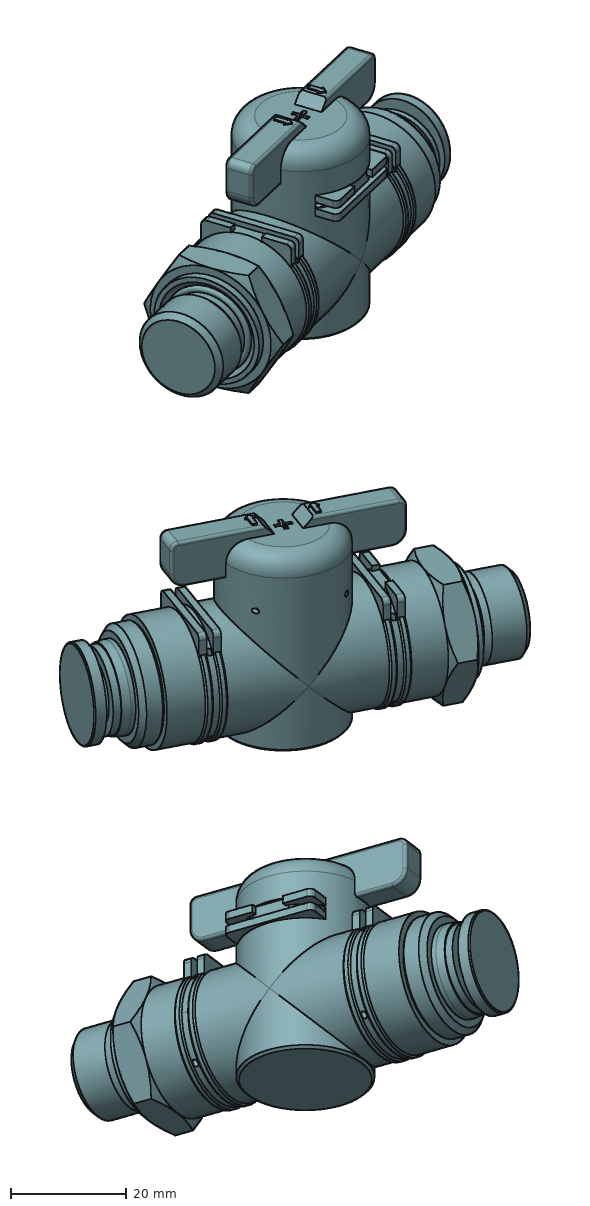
import cadquery as cq
import math


OVERALL_LENGTH = 81.6
BODY_RADIUS = 12.0

RELEASE_END_Y = 38.4
RELEASE_BACK_Y = 36.15
SLEEVE_Y = 34.85
SLEEVE_STEP_Y = 33.4
SLEEVE_TAPER_END_Y = 31.75
COLLAR_Y = 30.85
BODY_START_Y = 26.35
HEX_START_Y = -26.0
HEX_END_Y = -31.75
FLANGE_END_Y = -33.2
THREAD_START_Y = -34.6
THREAD_END_Y = RELEASE_END_Y - OVERALL_LENGTH

RELEASE_HALF_WIDTH = 8.3
RELEASE_HALF_HEIGHT = 9.5
RELEASE_EDGE_CHAMFER = 0.25
RELEASE_NECK_RADIUS = 6.1
SLEEVE_RADIUS = 8.1
SLEEVE_TAPER_RADIUS = 8.3
SLEEVE_BASE_RADIUS = 8.6
COLLAR_RADIUS = 11.0
COLLAR_CHAMFER = 1.1
COLLAR_BACK_CHAMFER = 0.4

HEX_CHAMFER_ANGLE = 30
FLANGE_RADIUS = 10.45
THREAD_RADIUS = 8.3
THREAD_NECK_RADIUS = 7.3
THREAD_CHAMFER = THREAD_RADIUS - THREAD_NECK_RADIUS

SEAT_MOUTH_RADIUS = 9.5
SEAT_DEPTH = 1.2
O_RING_TUBE_RADIUS = 0.61

TOWER_TOP_Z = 25.95
TOWER_BOTTOM_Z = -12.6
TOWER_TOP_FILLET = 4.0
TOWER_BOTTOM_CHAMFER = 0.5

CROSS_HALF_LENGTH = 1.6
CROSS_ARM_WIDTH = 0.7

HANDLE_HALF_LENGTH = 22.0
HANDLE_WIDTH = 5.3
HANDLE_BOTTOM_Z = 18.9
HANDLE_TOP_Z = 27.9
HANDLE_TOP_CORNER_RADIUS = 1.5
HANDLE_BOTTOM_CORNER_RADIUS = 2.85
HANDLE_SIDE_FILLET = 0.6
HANDLE_GAP_HALF_LENGTH = 2.7

ARROW_Y = 5.95
ARROW_HEIGHT = 0.25
ARROW_HALF_LENGTH = 1.7
ARROW_HEAD_LENGTH = 1.15
ARROW_HEAD_HALF_WIDTH = 1.0
ARROW_SHAFT_HALF_WIDTH = 0.5

PIPE_MOUNT_Y = 17.1
TOWER_MOUNT_Z = 14.85
MOUNT_WIDTH = 4.2
MOUNT_GAP = 1.2
RIB_WIDTH = (MOUNT_WIDTH - MOUNT_GAP) / 2
RIB_OFFSET = (MOUNT_GAP + RIB_WIDTH) / 2
PLATE_HALF_WIDTH = 9.0
PLATE_HEIGHT = 12.5
PLATE_CORNER_FILLET = 1.1
BAND_HEIGHT = 0.3
GROOVE_FLOOR_HEIGHT = 11.4
NOTCH_HALF_WIDTH = 3.1
MOUNT_HOLE_DIAMETER = 1.0
MOUNT_HOLE_DEPTH = 1.6
MOUNT_HOLE_OFFSET = BODY_RADIUS * math.cos(math.radians(45))


def revolve_about_y(profile):
    """Turn a closed list of (radius, y) points around the Y axis."""
    return cq.Workplane("XY").polyline(profile).close().revolve(360, (0, 0, 0), (0, 1, 0))


def plane_facing_minus_y(plane_y):
    """Work plane whose local x, y are global X, Z; positive extrusion runs toward -Y."""
    return cq.Workplane("XZ", origin=(0, plane_y, 0))


def make_push_in_end():
    collar_front_radius = COLLAR_RADIUS - COLLAR_CHAMFER
    collar_back_radius = COLLAR_RADIUS - COLLAR_BACK_CHAMFER
    turned = revolve_about_y([
        (0, BODY_START_Y),
        (collar_back_radius, BODY_START_Y),
        (COLLAR_RADIUS, BODY_START_Y + COLLAR_BACK_CHAMFER),
        (COLLAR_RADIUS, COLLAR_Y - COLLAR_CHAMFER),
        (collar_front_radius, COLLAR_Y),
        (SLEEVE_BASE_RADIUS, COLLAR_Y),
        (SLEEVE_BASE_RADIUS, SLEEVE_TAPER_END_Y),
        (SLEEVE_TAPER_RADIUS, SLEEVE_STEP_Y),
        (SLEEVE_RADIUS, SLEEVE_STEP_Y),
        (SLEEVE_RADIUS, SLEEVE_Y),
        (RELEASE_NECK_RADIUS, SLEEVE_Y),
        (RELEASE_NECK_RADIUS, RELEASE_BACK_Y),
        (0, RELEASE_BACK_Y),
    ])
    release_ring = (
        plane_facing_minus_y(RELEASE_END_Y)
        .ellipse(RELEASE_HALF_WIDTH, RELEASE_HALF_HEIGHT)
        .extrude(RELEASE_END_Y - RELEASE_BACK_Y)
        .faces(">Y").edges().chamfer(RELEASE_EDGE_CHAMFER)
    )
    return turned.union(release_ring)


def make_hex():
    corner_radius = BODY_RADIUS / math.cos(math.radians(30))
    chamfer_length = (corner_radius - BODY_RADIUS) * math.tan(math.radians(HEX_CHAMFER_ANGLE))
    prism = plane_facing_minus_y(HEX_START_Y).polygon(6, 2 * corner_radius).extrude(HEX_START_Y - HEX_END_Y)
    chamfer_envelope = revolve_about_y([
        (0, HEX_START_Y),
        (BODY_RADIUS, HEX_START_Y),
        (corner_radius, HEX_START_Y - chamfer_length),
        (corner_radius, HEX_END_Y + chamfer_length),
        (BODY_RADIUS, HEX_END_Y),
        (0, HEX_END_Y),
    ])
    return prism.intersect(chamfer_envelope)


def make_threaded_end():
    seat_floor_y = FLANGE_END_Y + SEAT_DEPTH
    return revolve_about_y([
        (0, HEX_END_Y),
        (FLANGE_RADIUS, HEX_END_Y),
        (FLANGE_RADIUS, FLANGE_END_Y),
        (SEAT_MOUTH_RADIUS, FLANGE_END_Y),
        (SEAT_MOUTH_RADIUS - SEAT_DEPTH, seat_floor_y),
        (THREAD_NECK_RADIUS, seat_floor_y),
        (THREAD_NECK_RADIUS, THREAD_START_Y),
        (THREAD_RADIUS, THREAD_START_Y - THREAD_CHAMFER),
        (THREAD_RADIUS, THREAD_END_Y + THREAD_CHAMFER),
        (THREAD_NECK_RADIUS, THREAD_END_Y),
        (0, THREAD_END_Y),
    ])


def make_pipe():
    barrel = plane_facing_minus_y(BODY_START_Y).circle(BODY_RADIUS).extrude(BODY_START_Y - HEX_START_Y)
    return barrel.union(make_push_in_end()).union(make_hex()).union(make_threaded_end())


def make_tower():
    return (
        cq.Workplane("XY", origin=(0, 0, TOWER_BOTTOM_Z))
        .circle(BODY_RADIUS)
        .extrude(TOWER_TOP_Z - TOWER_BOTTOM_Z)
        .faces(">Z").edges().fillet(TOWER_TOP_FILLET)
        .faces("<Z").edges().chamfer(TOWER_BOTTOM_CHAMFER)
    )


def make_cross_recess():
    arm = (
        cq.Workplane("XZ", origin=(0, 0, TOWER_TOP_Z))
        .polyline([(-CROSS_HALF_LENGTH, 0), (0, -CROSS_HALF_LENGTH), (CROSS_HALF_LENGTH, 0)])
        .close()
        .extrude(CROSS_ARM_WIDTH / 2, both=True)
    )
    return arm.union(arm.rotate((0, 0, 0), (0, 0, 1), 90))


def make_arrow():
    """Raised arrow pointing toward +X, centred on the Z axis."""
    head_base_x = ARROW_HALF_LENGTH - ARROW_HEAD_LENGTH
    return (
        cq.Workplane("XY", origin=(0, 0, HANDLE_TOP_Z))
        .polyline([
            (-ARROW_HALF_LENGTH, -ARROW_SHAFT_HALF_WIDTH),
            (head_base_x, -ARROW_SHAFT_HALF_WIDTH),
            (head_base_x, -ARROW_HEAD_HALF_WIDTH),
            (ARROW_HALF_LENGTH, 0),
            (head_base_x, ARROW_HEAD_HALF_WIDTH),
            (head_base_x, ARROW_SHAFT_HALF_WIDTH),
            (-ARROW_HALF_LENGTH, ARROW_SHAFT_HALF_WIDTH),
        ])
        .close()
        .extrude(ARROW_HEIGHT)
    )


def make_handle():
    """Two wings: a rounded bar with a V-sided gap cut down to the tower top."""
    handle_height = HANDLE_TOP_Z - HANDLE_BOTTOM_Z
    bar = (
        cq.Workplane("XY", origin=(0, 0, HANDLE_BOTTOM_Z))
        .box(HANDLE_WIDTH, 2 * HANDLE_HALF_LENGTH, handle_height, centered=(True, True, False))
        .edges("|X and >Z").fillet(HANDLE_TOP_CORNER_RADIUS)
        .edges("|X and <Z").fillet(HANDLE_BOTTOM_CORNER_RADIUS)
        .faces("<X or >X").edges().fillet(HANDLE_SIDE_FILLET)
    )
    gap_top_half_length = HANDLE_GAP_HALF_LENGTH + HANDLE_TOP_Z - TOWER_TOP_Z
    gap = (
        cq.Workplane("YZ")
        .polyline([
            (-HANDLE_GAP_HALF_LENGTH, TOWER_TOP_Z),
            (HANDLE_GAP_HALF_LENGTH, TOWER_TOP_Z),
            (gap_top_half_length, HANDLE_TOP_Z),
            (-gap_top_half_length, HANDLE_TOP_Z),
        ])
        .close()
        .extrude(HANDLE_WIDTH, both=True)
    )
    handle = bar.cut(gap)
    for y in (-ARROW_Y, ARROW_Y):
        handle = handle.union(make_arrow().translate((0, y, 0)))
    return handle


def make_rib_plates():
    """Two parallel plates, starting where their side faces meet the cylinder."""
    base_height = math.sqrt(BODY_RADIUS ** 2 - PLATE_HALF_WIDTH ** 2)
    plates = cq.Workplane("XY")
    for y in (-RIB_OFFSET, RIB_OFFSET):
        plate = (
            cq.Workplane("XY", origin=(0, y, base_height))
            .box(2 * PLATE_HALF_WIDTH, RIB_WIDTH, PLATE_HEIGHT - base_height, centered=(True, True, False))
            .edges("|Y and >Z").fillet(PLATE_CORNER_FILLET)
        )
        plates = plates.add(plate)
    return plates.combine()


def make_bands():
    bands = cq.Workplane("XY")
    half_width = RIB_WIDTH / 2
    for y in (-RIB_OFFSET, RIB_OFFSET):
        bands = bands.add(revolve_about_y([
            (0, y - half_width),
            (BODY_RADIUS, y - half_width),
            (BODY_RADIUS + BAND_HEIGHT, y - half_width + BAND_HEIGHT),
            (BODY_RADIUS + BAND_HEIGHT, y + half_width - BAND_HEIGHT),
            (BODY_RADIUS, y + half_width),
            (0, y + half_width),
        ]))
    return bands.combine()


def make_mount_holes():
    """Blind holes parallel to the plate normal, entering the cylinder at its four 45 degree points."""
    hole_floor_height = MOUNT_HOLE_OFFSET - MOUNT_HOLE_DEPTH
    upper_holes = (
        cq.Workplane("XY", origin=(0, 0, hole_floor_height))
        .pushPoints([(-MOUNT_HOLE_OFFSET, 0), (MOUNT_HOLE_OFFSET, 0)])
        .circle(MOUNT_HOLE_DIAMETER / 2)
        .extrude(PLATE_HEIGHT - hole_floor_height)
    )
    return upper_holes.union(upper_holes.mirror("XY"))


def make_groove_and_notch():
    """Flat groove floor between the ribs, and a notch through the rib on the -Y side."""
    cut_height = PLATE_HEIGHT - GROOVE_FLOOR_HEIGHT
    groove = cq.Workplane("XY", origin=(0, 0, GROOVE_FLOOR_HEIGHT)).box(
        2 * PLATE_HALF_WIDTH, MOUNT_GAP, cut_height, centered=(True, True, False)
    )
    notch = cq.Workplane("XY", origin=(0, -RIB_OFFSET, GROOVE_FLOOR_HEIGHT)).box(
        2 * NOTCH_HALF_WIDTH, RIB_WIDTH, cut_height, centered=(True, True, False)
    )
    return groove.union(notch)


def on_pipe(shape, y):
    return shape.translate((0, y, 0))


def on_tower(shape):
    """Stand the mount on the tower: plate toward +X, notched rib on top."""
    upright = shape.rotate((0, 0, 0), (1, 0, 0), -90)
    return upright.rotate((0, 0, 0), (0, 0, 1), -90).translate((0, 0, TOWER_MOUNT_Z))


def make_valve_body():
    body = make_pipe().union(make_tower()).union(make_handle())
    for y in (-PIPE_MOUNT_Y, PIPE_MOUNT_Y):
        body = body.union(on_pipe(make_bands(), y)).union(on_pipe(make_rib_plates(), y))
        body = body.cut(on_pipe(make_mount_holes(), y))
    body = body.union(on_tower(make_rib_plates())).cut(on_tower(make_mount_holes()))
    body = body.cut(on_pipe(make_groove_and_notch(), -PIPE_MOUNT_Y))
    body = body.cut(on_tower(make_groove_and_notch()))
    return body.cut(make_cross_recess())


def make_o_ring():
    """Round ring resting on the seat floor and touching the thread neck."""
    ring_radius = THREAD_NECK_RADIUS + O_RING_TUBE_RADIUS
    tube_centre_y = FLANGE_END_Y + SEAT_DEPTH - O_RING_TUBE_RADIUS
    return (
        cq.Workplane("XY", origin=(0, tube_centre_y, 0))
        .moveTo(ring_radius, 0)
        .circle(O_RING_TUBE_RADIUS)
        .revolve(360, (0, 0, 0), (0, 1, 0))
    )


valve_body = make_valve_body()
o_ring = make_o_ring()
result = cq.Compound.makeCompound([valve_body.val(), o_ring.val()])